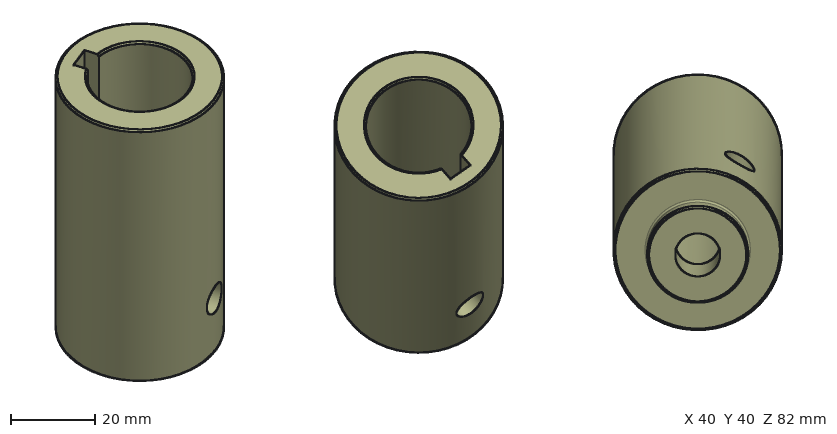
import cadquery as cq

total_height = 82
body_diameter = 40.0
spigot_diameter = 24.0
spigot_height = 4.0
edge_chamfer = 0.5

root_fillet = 0.5

bore_diameter = 25.0
bore_floor_height = 10.0
bore_floor_chamfer = 0.5
through_hole_diameter = 10.7

cross_hole_diameter = 8.0
cross_hole_height = 20.5

keyway_width = 6.0
keyway_reach = 16.0


def make_body():
    body_height = total_height - spigot_height
    body = cq.Workplane("XY").workplane(offset=spigot_height).circle(body_diameter / 2).extrude(body_height)
    return body.faces("<Z or >Z").chamfer(edge_chamfer)


def make_spigot():
    spigot = cq.Workplane("XY").circle(spigot_diameter / 2).extrude(spigot_height)
    return spigot.faces("<Z").chamfer(edge_chamfer)


def make_bore():
    bore_depth = total_height - bore_floor_height
    bore = cq.Workplane("XY").workplane(offset=bore_floor_height).circle(bore_diameter / 2).extrude(bore_depth)
    bore = bore.faces("<Z").chamfer(bore_floor_chamfer)
    mouth_radius = bore_diameter / 2 + edge_chamfer
    mouth = (
        cq.Workplane("XY")
        .workplane(offset=total_height)
        .circle(mouth_radius)
        .extrude(-edge_chamfer, taper=45)
    )
    through_hole = cq.Workplane("XY").circle(through_hole_diameter / 2).extrude(total_height)
    return bore.union(mouth).union(through_hole)


def make_cross_hole():
    return (
        cq.Workplane("YZ")
        .center(0, cross_hole_height)
        .circle(cross_hole_diameter / 2)
        .extrude(body_diameter / 2, both=True)
    )


def make_keyway():
    return (
        cq.Workplane("XY")
        .workplane(offset=cross_hole_height)
        .center(-keyway_reach / 2, 0)
        .rect(keyway_reach, keyway_width)
        .extrude(total_height - cross_hole_height)
    )


def make_solid_blank():
    blank = make_body().union(make_spigot())
    root_edge = cq.selectors.RadiusNthSelector(0)
    shoulder = blank.faces("<Z[1]")
    return shoulder.edges(root_edge).fillet(root_fillet)


result = make_solid_blank()
for cutter in (make_bore(), make_cross_hole(), make_keyway()):
    result = result.cut(cutter)